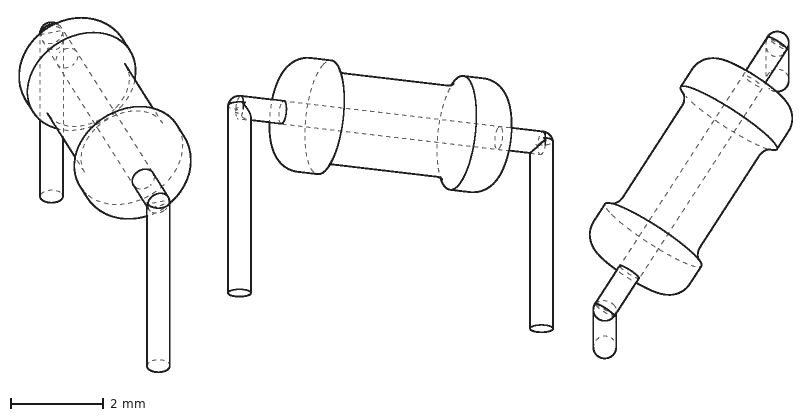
import cadquery as cq
import math

overall_length = 7.5
wire_diameter = 0.5
housing_length = 5.0
collar_diameter = 2.5
barrel_diameter = 2.0
end_round = 0.5
collar_inner_x = 1.53
neck_radius = 0.345
overall_height = 5.51
leg_rise = 0.04

wire_radius = wire_diameter / 2
leg_x = overall_length / 2 - wire_radius
leg_length = overall_height - collar_diameter / 2 + leg_rise
housing_end_x = housing_length / 2
collar_radius = collar_diameter / 2
barrel_radius = barrel_diameter / 2
neck_height = collar_radius - barrel_radius
neck_angle = math.acos(1 - neck_height / neck_radius)
barrel_end_x = collar_inner_x - neck_radius * math.sin(neck_angle)


def make_wire():
    """Straight wire running through the housing from leg to leg."""
    return cq.Workplane("YZ").circle(wire_radius).extrude(leg_x, both=True)


def round_midpoint(center_x, center_r, radius, angle):
    """Point on a round at the given angle from the +X direction."""
    return (center_x + radius * math.cos(angle), center_r + radius * math.sin(angle))


def make_housing(wire):
    """Revolved body with two collars, bored for the wire."""
    round_x = housing_end_x - end_round
    round_r = collar_radius - end_round
    end_mid = round_midpoint(round_x, round_r, end_round, math.pi / 4)
    neck_mid = round_midpoint(
        barrel_end_x, barrel_radius + neck_radius, neck_radius, (neck_angle - math.pi) / 2
    )
    profile = (
        cq.Workplane("XY")
        .moveTo(-housing_end_x, 0)
        .lineTo(-housing_end_x, round_r)
        .threePointArc((-end_mid[0], end_mid[1]), (-round_x, collar_radius))
        .lineTo(-collar_inner_x, collar_radius)
        .threePointArc((-neck_mid[0], neck_mid[1]), (-barrel_end_x, barrel_radius))
        .lineTo(barrel_end_x, barrel_radius)
        .threePointArc(neck_mid, (collar_inner_x, collar_radius))
        .lineTo(round_x, collar_radius)
        .threePointArc(end_mid, (housing_end_x, round_r))
        .lineTo(housing_end_x, 0)
        .close()
    )
    return profile.revolve(360, (0, 0, 0), (1, 0, 0)).cut(wire)


def make_leg(x, wire):
    """Vertical lead, notched at the top to fit the end of the wire."""
    leg = cq.Workplane("XY", origin=(x, 0, leg_rise)).circle(wire_radius).extrude(-leg_length)
    return leg.cut(wire)


def make_corner(x, wire, leg):
    """Part of a ball that rounds the outer corner between wire and leg."""
    return cq.Workplane("XY").sphere(wire_radius).translate((x, 0, 0)).cut(wire).cut(leg)


wire = make_wire()
housing = make_housing(wire)
legs = []
corners = []
for x in (-leg_x, leg_x):
    leg = make_leg(x, wire)
    legs.append(leg.solids().val())
    corners.append(make_corner(x, wire, leg).solids().val())

result = cq.Compound.makeCompound([housing.solids().val(), wire.val(), *legs, *corners])